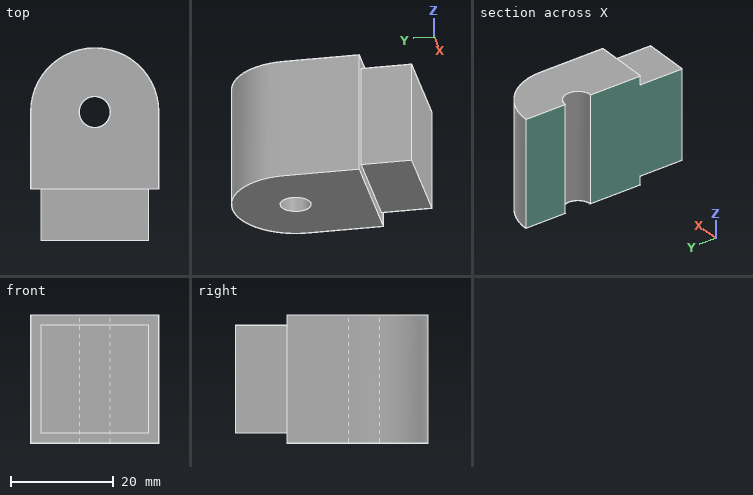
import cadquery as cq

body_width = 25.0
body_height = 25.0
straight_length = 15.0
tenon_side = 21.0
tenon_length = 10.0
pin_hole_diameter = 6.0

end_radius = body_width / 2
shoulder_y = -straight_length


def make_body():
    """Block with a rounded +Y end, centred on Z = 0."""
    return (
        cq.Workplane("XY")
        .workplane(offset=-body_height / 2)
        .moveTo(-end_radius, shoulder_y)
        .lineTo(end_radius, shoulder_y)
        .lineTo(end_radius, 0)
        .threePointArc((0, end_radius), (-end_radius, 0))
        .close()
        .extrude(body_height)
    )


def make_tenon():
    """Square plug standing out from the shoulder toward -Y."""
    return (
        cq.Workplane("XY")
        .box(tenon_side, tenon_length, tenon_side)
        .translate((0, shoulder_y - tenon_length / 2, 0))
    )


def make_pin_hole():
    """Cutter for the hole through the full height of the body."""
    return cq.Workplane("XY").circle(pin_hole_diameter / 2).extrude(body_height, both=True)


result = make_body().union(make_tenon()).cut(make_pin_hole())